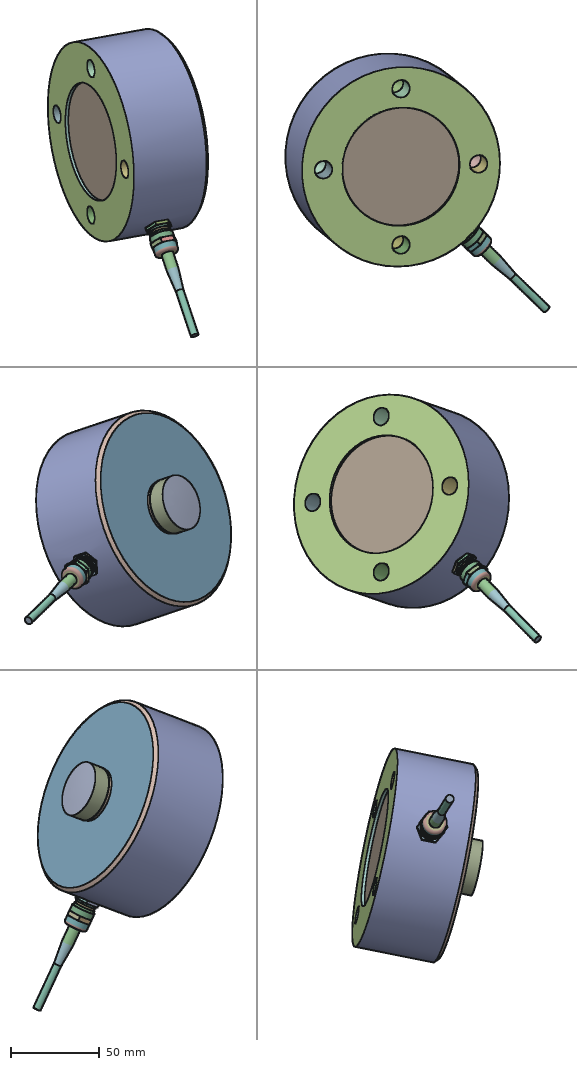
import cadquery as cq
import math


housing_diameter = 115.0
housing_depth = 47.5
rim_chamfer = 2.1

recess_diameter = 68.0
recess_depth = 2.0

mount_hole_count = 4
mount_hole_diameter = 10.1
mount_hole_depth = 17.8
mount_hole_circle_radius = 45.0
drill_point_angle = 118.0

button_diameter = 32.0
button_neck_diameter = 31.0
button_neck_length = 2.0
button_dome_height = 0.7
total_depth = 60.0

gland_angle = -45.0
gland_axis_y = 23.0
seat_distance = 57.0
gland_width = 13.8
collar_length = 2.0
neck_diameter = 12.5
neck_groove_diameter = 11.6
neck_groove_start = 3.3
neck_groove_end = 4.8
nut_start = 6.2
hex_start = 10.0
hex_end = 12.8
nut_end = 18.0
nut_fillet = 1.8
sleeve_diameter = 7.0
sleeve_end = 28.0
cone_end = 41.3

cable_diameter = 4.6
outer_size = 148.6
cable_reach = (outer_size - housing_diameter / 2) * math.sqrt(2) - cable_diameter / 2
cable_end = cable_reach - seat_distance


def revolve_about_y(profile):
    """Turn a closed (radius, Y) profile about the housing axis."""
    return profile.close().revolve(360, (0, 0, 0), (0, 1, 0))


def cylinder(diameter, start, end):
    return cq.Workplane("XY").workplane(offset=start).circle(diameter / 2).extrude(end - start)


def hexagon(start, end):
    """Hexagonal band with one corner facing the mounting face."""
    corner_diameter = gland_width / math.cos(math.pi / 6)
    band = cq.Workplane("XY").workplane(offset=start).polygon(6, corner_diameter)
    return band.extrude(end - start).rotate((0, 0, 0), (0, 0, 1), 90)


def place_on_gland_axis(body):
    """Move a body built along +Z from the seat onto the radial gland axis."""
    along_x = body.translate((0, 0, seat_distance)).rotate((0, 0, 0), (0, 1, 0), 90)
    return along_x.rotate((0, 0, 0), (0, 1, 0), -gland_angle).translate((0, gland_axis_y, 0))


def mounting_hole():
    """Blind drilled hole on the housing axis, with a conical bottom."""
    radius = mount_hole_diameter / 2
    tip_length = radius / math.tan(math.radians(drill_point_angle / 2))
    profile = (
        cq.Workplane("XY")
        .lineTo(radius, 0)
        .lineTo(radius, mount_hole_depth)
        .lineTo(0, mount_hole_depth + tip_length)
    )
    return revolve_about_y(profile)


def load_button():
    radius = button_diameter / 2
    neck_radius = button_neck_diameter / 2
    rim_y = total_depth - button_dome_height
    dome_radius = (radius**2 + button_dome_height**2) / (2 * button_dome_height)
    middle_radius = radius / 2
    middle_y = total_depth - dome_radius + math.sqrt(dome_radius**2 - middle_radius**2)
    profile = (
        cq.Workplane("XY")
        .moveTo(0, housing_depth)
        .lineTo(neck_radius, housing_depth)
        .lineTo(neck_radius, housing_depth + button_neck_length)
        .lineTo(radius, housing_depth + button_neck_length)
        .lineTo(radius, rim_y)
        .threePointArc((middle_radius, middle_y), (0, total_depth))
    )
    return revolve_about_y(profile)


def make_housing(gland):
    radius = housing_diameter / 2
    profile = (
        cq.Workplane("XY")
        .moveTo(0, recess_depth)
        .lineTo(recess_diameter / 2, recess_depth)
        .lineTo(recess_diameter / 2, 0)
        .lineTo(radius, 0)
        .lineTo(radius, housing_depth - rim_chamfer)
        .lineTo(radius - rim_chamfer, housing_depth)
        .lineTo(0, housing_depth)
    )
    housing = revolve_about_y(profile).union(load_button())
    hole = mounting_hole().translate((mount_hole_circle_radius, 0, 0))
    for index in range(mount_hole_count):
        angle = index * 360 / mount_hole_count
        housing = housing.cut(hole.rotate((0, 0, 0), (0, 1, 0), angle))
    return housing.cut(gland)


def make_gland():
    neck = cylinder(neck_diameter, collar_length, nut_start)
    groove = cylinder(neck_diameter, neck_groove_start, neck_groove_end).cut(
        cylinder(neck_groove_diameter, neck_groove_start, neck_groove_end)
    )
    nut = cylinder(gland_width, nut_start, nut_end).faces(">Z").edges().fillet(nut_fillet)
    sleeve = cylinder(sleeve_diameter, nut_end, sleeve_end)
    cone = (
        cq.Workplane("XY")
        .workplane(offset=sleeve_end)
        .circle(sleeve_diameter / 2)
        .workplane(offset=cone_end - sleeve_end)
        .circle(cable_diameter / 2)
        .loft()
    )
    gland = hexagon(0, collar_length).union(neck.cut(groove))
    gland = gland.union(nut).union(hexagon(hex_start, hex_end))
    gland = gland.union(sleeve).union(cone)
    return place_on_gland_axis(gland)


def make_cable():
    """Cable that starts at the small end of the gland cone."""
    return place_on_gland_axis(cylinder(cable_diameter, cone_end, cable_end))


cable = make_cable()
gland = make_gland()
housing = make_housing(gland)

result = cq.Compound.makeCompound([housing.val(), gland.val(), cable.val()])